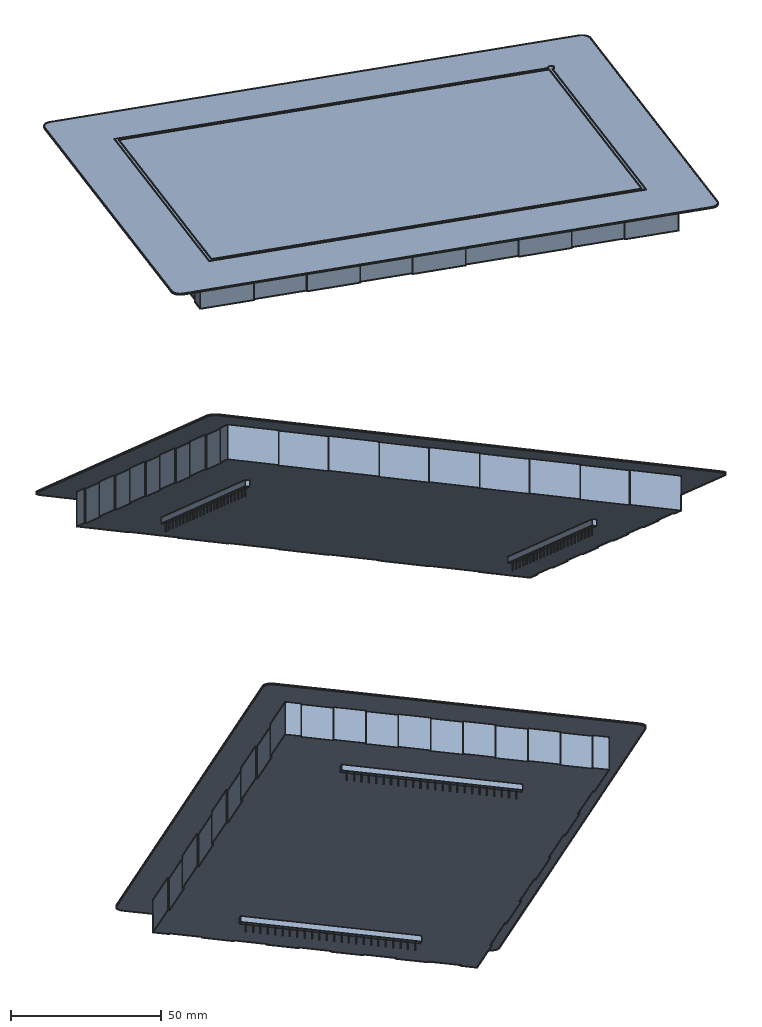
import cadquery as cq

plate_width = 132.0
plate_length = 193.0
plate_thickness = 0.5
plate_corner_radius = 3.0

body_width = 111.7
body_length = 169.0
body_bottom = -12.4
body_offset_x = 0.2
body_offset_y = 0.68

recess_depth = 0.5
end_recess_count = 5
end_cell = body_width / (2 * end_recess_count)
side_recess_count = 4
side_cell = 18.7

frame_width = 94.0
frame_length = 154.4
frame_offset = -0.2
groove_width = 1.2
groove_depth = 0.1
corner_recess_diameter = 2.1

overall_height = 17.4
header_length = 62.3
header_width = 1.7
header_bottom = -14.5
header_spacing = 129.3
pin_count = 24
pin_row_length = 58.5
pin_pitch = pin_row_length / (pin_count - 1)
pin_size = 0.29


def block(width, length, top, bottom, x=0.0, y=0.0):
    """Upright box centred on (x, y) between two heights."""
    return cq.Workplane("XY", origin=(x, y, bottom)).rect(width, length).extrude(top - bottom)


def rounded_plate():
    """Thin cover plate with rounded corners."""
    plate = block(plate_width, plate_length, 0, -plate_thickness)
    return plate.edges("|Z").fillet(plate_corner_radius)


def recess_positions(count, cell):
    """Centres of evenly spread recesses, one cell wide and one cell apart."""
    return [(index - (count - 1) / 2) * 2 * cell for index in range(count)]


def recessed_body():
    """Rectangular body with alternating proud and recessed cells around its four sides."""
    body = block(body_width, body_length, -plate_thickness, body_bottom, body_offset_x, body_offset_y)
    cut_depth = 2 * recess_depth
    for side in (-1, 1):
        side_x = body_offset_x + side * body_width / 2
        for along in recess_positions(side_recess_count, side_cell):
            recess_y = body_offset_y + along
            body = body.cut(block(cut_depth, side_cell, -plate_thickness, body_bottom, side_x, recess_y))
        end_y = body_offset_y + side * body_length / 2
        for along in recess_positions(end_recess_count, end_cell):
            recess_x = body_offset_x + along
            body = body.cut(block(end_cell, cut_depth, -plate_thickness, body_bottom, recess_x, end_y))
    return body


def frame_groove():
    """Material removed by the rectangular groove and the round recess on its -X +Y corner."""
    inner_width = frame_width - 2 * groove_width
    inner_length = frame_length - 2 * groove_width
    outer = block(frame_width, frame_length, 0, -groove_depth, frame_offset, frame_offset)
    inner = block(inner_width, inner_length, 0, -groove_depth, frame_offset, frame_offset)
    corner_x = frame_offset - frame_width / 2
    corner_y = frame_offset + frame_length / 2
    corner_recess = (
        cq.Workplane("XY", origin=(corner_x, corner_y, -groove_depth))
        .circle(corner_recess_diameter / 2)
        .extrude(groove_depth)
    )
    return outer.cut(inner).union(corner_recess)


def pin_header(y):
    """Header strip with one row of square pins pointing down."""
    header = block(header_length, header_width, body_bottom, header_bottom, body_offset_x, y)
    first_pin_x = body_offset_x - pin_row_length / 2
    for index in range(pin_count):
        pin_x = first_pin_x + index * pin_pitch
        header = header.union(block(pin_size, pin_size, header_bottom, -overall_height, pin_x, y))
    return header


result = rounded_plate().union(recessed_body()).cut(frame_groove())
for side in (-1, 1):
    result = result.union(pin_header(body_offset_y + side * header_spacing / 2))